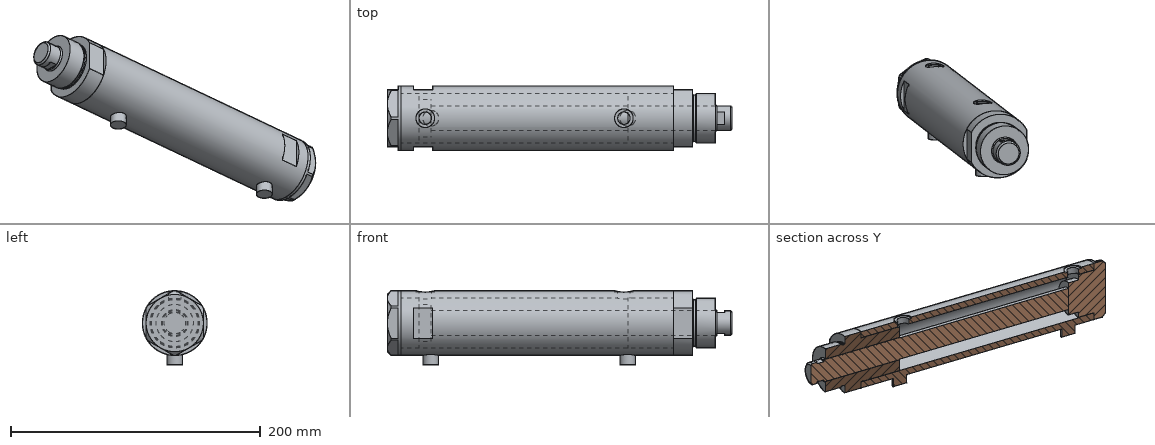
import cadquery as cq
import math

LENGTH = 276.3
BODY_R = 26.0
FLAT_HALF = 23.0
WRENCH_FLAT_LENGTH = 15.2

HEX_END = 8.5
TUBE_START = 11.0
TUBE_FLAT_START = 21.0
HEAD_START = 229.3
HEAD_SHOULDER = HEAD_START + WRENCH_FLAT_LENGTH
NOSE_END = 262.8

HEX_CHAMFER = 3.0
CAP_SPIGOT_R = 15.0
CAP_SPIGOT_END = 34.8

BORE_R = 20.0
PORT_XS = (30.5, 189.5)
PORT_R = 5.0
SPOT_FACE_R = 7.5
SPOT_FACE_DEPTH = 1.15
PEG_XS = (34.8, 192.5)
PEG_R = 6.4
PEG_BOTTOM = -33.5

CAP_PLUG_END = PORT_XS[0] - PORT_R

HEAD_PLUG_START = 192.9
NOSE_R = 20.0
UNDERCUT_R = 18.8
UNDERCUT_SHOULDER_R = 19.3
UNDERCUT_START = HEAD_SHOULDER + 0.8
UNDERCUT_END = HEAD_SHOULDER + 2.2
NOSE_CHAMFER = NOSE_R - UNDERCUT_R
LIP_BASE_R = 10.8
LIP_LENGTH = 1.5

ROD_R = 10.0
ROD_CHAMFER = 1.5
ROD_FLAT_HALF = 8.5
ROD_FLAT_END = 270.2
LIP_END = NOSE_END + LIP_LENGTH


def cylinder_x(x_start, x_end, radius):
    """Round bar on the X axis between two stations."""
    return cq.Workplane("YZ", origin=(x_start, 0, 0)).circle(radius).extrude(x_end - x_start)


def cylinder_z(x, z_start, z_end, radius):
    """Upright round bar at station x."""
    return cq.Workplane("XY", origin=(x, 0, z_start)).circle(radius).extrude(z_end - z_start)


def slab_x(x_start, x_end, width, height):
    """Rectangular bar centred on the X axis between two stations."""
    return cq.Workplane("YZ", origin=(x_start, 0, 0)).rect(width, height).extrude(x_end - x_start)


def cut_wrench_flats(body, x_start):
    """Mill two parallel flats facing +Y and -Y."""
    x_end = x_start + WRENCH_FLAT_LENGTH
    blank = slab_x(x_start, x_end, 3 * BODY_R, 3 * BODY_R)
    kept_core = slab_x(x_start, x_end, 2 * FLAT_HALF, 3 * BODY_R)
    return body.cut(blank.cut(kept_core))


def make_cap():
    """Hexagon with trimmed corners, flange, plug in the bore and slimmer spigot."""
    corner_diameter = 2 * FLAT_HALF / math.cos(math.pi / 6)
    hexagon = (
        cq.Workplane("YZ")
        .transformed(rotate=(0, 0, 90))
        .polygon(6, corner_diameter)
        .extrude(HEX_END)
    )
    corner_trim = cylinder_x(0, HEX_END, BODY_R).faces("<X").chamfer(HEX_CHAMFER)
    flange = cylinder_x(HEX_END, TUBE_START, BODY_R)
    plug = cylinder_x(TUBE_START, CAP_PLUG_END, BORE_R)
    spigot = cylinder_x(CAP_PLUG_END, CAP_SPIGOT_END, CAP_SPIGOT_R)
    return hexagon.intersect(corner_trim).union(flange).union(plug).union(spigot)


def make_tube():
    """Bored tube with two spot-faced ports on top and two locating pegs below."""
    tube = cylinder_x(TUBE_START, HEAD_START, BODY_R)
    for x in PEG_XS:
        tube = tube.union(cylinder_z(x, PEG_BOTTOM, 0, PEG_R))
    tube = tube.cut(cylinder_x(TUBE_START, HEAD_START, BORE_R))
    for x in PORT_XS:
        tube = tube.cut(cylinder_z(x, 0, BODY_R, PORT_R))
        tube = tube.cut(cylinder_z(x, BODY_R - SPOT_FACE_DEPTH, BODY_R, SPOT_FACE_R))
    return cut_wrench_flats(tube, TUBE_FLAT_START)


def make_head():
    """Rod guide: plug, wrench section, undercut nose and tapered lip, turned around the rod."""
    profile = [
        (HEAD_PLUG_START, ROD_R),
        (HEAD_PLUG_START, BORE_R),
        (HEAD_START, BORE_R),
        (HEAD_START, BODY_R),
        (HEAD_SHOULDER, BODY_R),
        (HEAD_SHOULDER, UNDERCUT_SHOULDER_R),
        (UNDERCUT_START, UNDERCUT_R),
        (UNDERCUT_END, UNDERCUT_R),
        (UNDERCUT_END + NOSE_CHAMFER, NOSE_R),
        (NOSE_END, NOSE_R),
        (NOSE_END, LIP_BASE_R),
        (LIP_END, ROD_R),
    ]
    head = cq.Workplane("XZ").polyline(profile).close().revolve(360, (0, 0, 0), (1, 0, 0))
    return cut_wrench_flats(head, HEAD_START)


def make_rod():
    """Rod from the cap spigot to the chamfered tip, with two flats facing +Z and -Z."""
    rod = cylinder_x(CAP_SPIGOT_END, LENGTH, ROD_R).faces(">X").chamfer(ROD_CHAMFER)
    blank = slab_x(LIP_END, ROD_FLAT_END, 3 * ROD_R, 3 * ROD_R)
    kept_core = slab_x(LIP_END, ROD_FLAT_END, 3 * ROD_R, 2 * ROD_FLAT_HALF)
    return rod.cut(blank.cut(kept_core))


cap = make_cap()
tube = make_tube()
head = make_head()
rod = make_rod()

result = cq.Compound.makeCompound([cap.val(), tube.val(), head.val(), rod.val()])